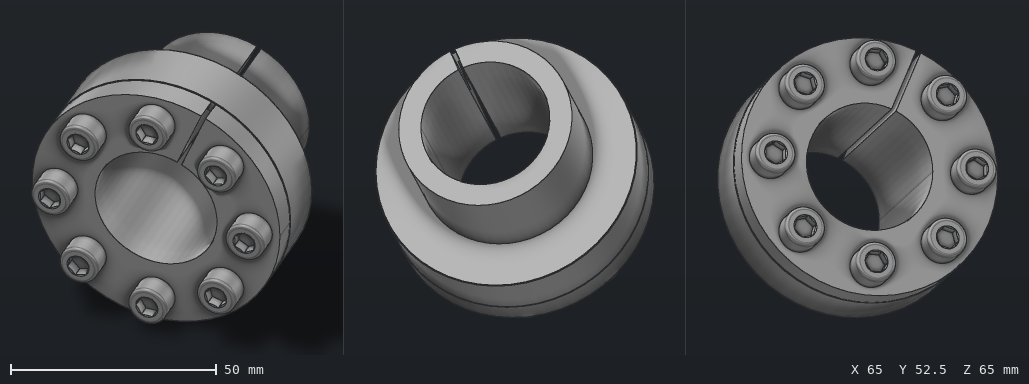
import cadquery as cq
import math


bore_dia = 32.0
sleeve_dia = 43.0
flange_dia = 65.0
flange_thickness = 6.8
ring_thickness = 14.2
ring_edge_chamfer = 0.2
sleeve_length = 25.5

slit_width = 1.2
slit_angle = 22.5
ring_rim_thickness = 2.8

screw_count = 8
bolt_circle_dia = 51.0
head_dia = 10.0
head_height = 6.0
head_edge_radius = 0.8
shank_dia = 6.0
shank_length = 18.0
socket_width = 5.0
socket_depth = 3.0
socket_lead_angle = 30.0

ring_back = flange_thickness + ring_thickness
hub_length = ring_back + sleeve_length
slit_ring_reach = flange_dia / 2 - ring_rim_thickness
socket_corner_dia = socket_width / math.cos(math.radians(30))
screw_spacing = 360 / screw_count


def cylinder(diameter, start, length):
    """Cylinder on the Y axis, from Y = start to Y = start + length."""
    return cq.Workplane("XZ", origin=(0, start, 0)).circle(diameter / 2).extrude(-length)


def slit_cutter(reach, start, length):
    """Radial slab from the hub axis out to the given reach, turned to the slit angle."""
    slab = cq.Workplane("XY").box(slit_width, length, reach, centered=(True, False, False))
    return slab.translate((0, start, 0)).rotate((0, 0, 0), (0, 1, 0), slit_angle)


def place_screw(shape, index):
    """Move a shape from the Y axis to its place on the bolt circle."""
    at_top = shape.translate((0, 0, bolt_circle_dia / 2))
    return at_top.rotate((0, 0, 0), (0, 1, 0), index * screw_spacing)


def make_hub():
    flange = cylinder(flange_dia, 0, flange_thickness)
    ring = cylinder(flange_dia, flange_thickness, ring_thickness).edges().chamfer(ring_edge_chamfer)
    sleeve = cylinder(sleeve_dia, ring_back, sleeve_length)
    hub = flange.union(ring).union(sleeve)
    hub = hub.cut(cylinder(bore_dia, 0, hub_length))

    hub = hub.cut(slit_cutter(flange_dia, 0, flange_thickness))
    hub = hub.cut(slit_cutter(slit_ring_reach, 0, hub_length))

    for index in range(screw_count):
        hub = hub.cut(place_screw(cylinder(shank_dia, 0, shank_length), index))
    return hub


def make_socket():
    """Hexagonal recess with a shallow conical lead-in at the head face."""
    face = cq.Workplane("XZ", origin=(0, -head_height, 0))
    hexagon = face.polygon(6, socket_corner_dia).extrude(-socket_depth)
    corner_radius = socket_corner_dia / 2
    cone_depth = corner_radius * math.tan(math.radians(socket_lead_angle))
    lead_in = cq.Workplane("XY").add(
        cq.Solid.makeCone(
            corner_radius, 0, cone_depth, pnt=cq.Vector(0, -head_height, 0), dir=cq.Vector(0, 1, 0)
        )
    )
    return hexagon.union(lead_in)


def make_screw():
    head = cylinder(head_dia, -head_height, head_height).faces("<Y").edges().fillet(head_edge_radius)
    shank = cylinder(shank_dia, 0, shank_length)
    return head.union(shank).cut(make_socket())


hub = make_hub()
screw = make_screw()
screws = [place_screw(screw, index) for index in range(screw_count)]

result = cq.Compound.makeCompound([hub.val(), *[placed.val() for placed in screws]])